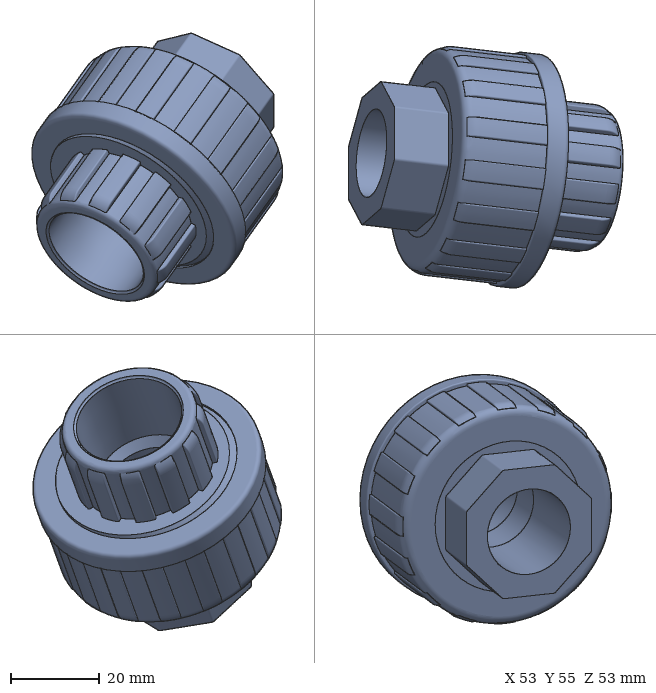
import cadquery as cq
import math


total_length = 54.95
collar_face_y = 16.6
nut_front_y = 17.1
flange_rear_y = 22.2
joint_y = 31.85
nut_rear_y = 42.0
lip_thickness = 3.55
lip_y = nut_rear_y - lip_thickness

bore_dia = 20.0

socket_dia = 31.2
socket_end_round = 1.2
socket_mouth_dia = 24.4
socket_base_dia = 24.0
mouth_round = 0.5
socket_depth = 19.8
socket_rib_count = 12
socket_rib_dia = 33.4
socket_rib_width = 4.6
socket_rib_tip_y = 0.8
socket_rib_bend_y = 3.8
socket_rib_tip_drop = 1.25

collar_dia = 41.9
collar_face_dia = 40.35
collar_face_offset = (collar_dia - collar_face_dia) / 2
thread_start_length = 1.1

nut_dia = 51.0
nut_rear_round = 2.05
flange_dia = 53.0
flange_front_round = 1.0
flange_rear_round = 0.35
nut_rib_count = 16
nut_rib_dia = 51.9
nut_rib_width = 4.8
nut_rib_tip_y = 41.2
nut_rib_bend_y = 38.6
nut_rib_tip_drop = 0.8

octagon_sides = 8
octagon_flats = 30.15
octagon_corner_round = 0.8
neck_dia = 35.2

rib_edge_round = 0.35
rib_root_depth = 1.1


def disc(diameter, y_start, y_end):
    """Solid cylinder on the Y axis between two positions."""
    plane = cq.Workplane("XZ", origin=(0, y_start, 0))
    return plane.circle(diameter / 2).extrude(y_start - y_end)


def rib(rib_dia, base_dia, width, tip_y, bend_y, root_y, tip_drop):
    """One rib on the +X side, whose outer face curves towards the axis at its tip."""
    outer = rib_dia / 2
    inner = base_dia / 2 - rib_root_depth
    tip = outer - tip_drop
    profile = (
        cq.Workplane("XY")
        .moveTo(inner, root_y)
        .lineTo(outer, root_y)
        .lineTo(outer, bend_y)
        .tangentArcPoint((tip, tip_y), relative=False)
        .lineTo(inner, tip_y)
        .close()
    )
    half_angle = math.degrees(math.asin(width / rib_dia))
    ring = profile.revolve(4 * half_angle, (0, 0, 0), (0, 1, 0))
    ring = ring.rotate((0, 0, 0), (0, 1, 0), -2 * half_angle)
    middle_y = (root_y + tip_y) / 2
    slab = cq.Workplane("XY", origin=(0, middle_y, 0)).box(rib_dia, abs(root_y - tip_y), width)
    blank = ring.intersect(slab)
    side_edges = blank.faces("<Z or >Z").edges()
    long_edges = side_edges.filter(lambda edge: edge.Center().x > tip)
    return blank.newObject(long_edges.vals()).fillet(rib_edge_round)


def add_ribs(body, one_rib, count):
    """Join copies of a rib to a body, evenly spaced around the Y axis."""
    for index in range(count):
        body = body.union(one_rib.rotate((0, 0, 0), (0, 1, 0), index * 360 / count))
    return body


def make_socket_end():
    tube = disc(socket_dia, 0, nut_front_y).faces("<Y").edges().fillet(socket_end_round)
    one_rib = rib(
        socket_rib_dia, socket_dia, socket_rib_width,
        socket_rib_tip_y, socket_rib_bend_y, nut_front_y, socket_rib_tip_drop,
    )
    body = add_ribs(tube, one_rib, socket_rib_count)

    thread_full_y = collar_face_y + thread_start_length
    thread_start = (
        cq.Workplane("XZ", origin=(0, collar_face_y, 0))
        .center(-collar_face_offset, 0)
        .circle(collar_face_dia / 2)
        .workplane(offset=-thread_start_length)
        .center(collar_face_offset, 0)
        .circle(collar_dia / 2)
        .loft()
    )
    body = body.union(thread_start).union(disc(collar_dia, thread_full_y, joint_y))

    mouth_radius = socket_mouth_dia / 2
    base_radius = socket_base_dia / 2
    bore_radius = bore_dia / 2
    seat_end_y = socket_depth + base_radius - bore_radius
    bore = (
        cq.Workplane("XY")
        .lineTo(mouth_radius + mouth_round, 0)
        .radiusArc((mouth_radius, mouth_round), -mouth_round)
        .lineTo(base_radius, socket_depth)
        .lineTo(bore_radius, seat_end_y)
        .lineTo(bore_radius, joint_y)
        .lineTo(0, joint_y)
        .close()
        .revolve(360, (0, 0, 0), (0, 1, 0))
    )
    return body.cut(bore)


def make_nut():
    shell = disc(nut_dia, nut_front_y, nut_rear_y).faces(">Y").edges().fillet(nut_rear_round)
    flange = (
        disc(flange_dia, nut_front_y, flange_rear_y)
        .faces("<Y").edges().fillet(flange_front_round)
        .faces(">Y").edges().fillet(flange_rear_round)
    )
    flange_middle_y = (nut_front_y + flange_rear_y) / 2
    one_rib = rib(
        nut_rib_dia, nut_dia, nut_rib_width,
        nut_rib_tip_y, nut_rib_bend_y, flange_middle_y, nut_rib_tip_drop,
    )
    body = add_ribs(shell.union(flange), one_rib, nut_rib_count)
    body = body.cut(disc(collar_dia, nut_front_y, lip_y))
    return body.cut(disc(neck_dia, lip_y, nut_rear_y))


def make_octagonal_end():
    corner_dia = octagon_flats / math.cos(math.pi / octagon_sides)
    octagon = (
        cq.Workplane("XZ", origin=(0, nut_rear_y, 0))
        .polygon(octagon_sides, corner_dia)
        .extrude(nut_rear_y - total_length)
        .rotate((0, 0, 0), (0, 1, 0), 180 / octagon_sides)
        .edges("|Y").fillet(octagon_corner_round)
    )
    shoulder = disc(collar_dia, joint_y, lip_y)
    neck = disc(neck_dia, lip_y, nut_rear_y)
    body = shoulder.union(neck).union(octagon)
    return body.cut(disc(bore_dia, joint_y, total_length))


socket_end = make_socket_end()
nut = make_nut()
octagonal_end = make_octagonal_end()

result = cq.Compound.makeCompound([socket_end.val(), nut.val(), octagonal_end.val()])